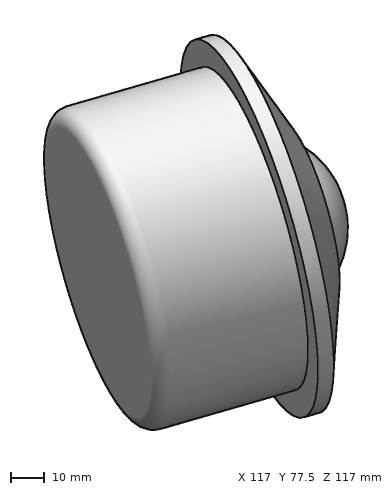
import cadquery as cq
import math

flange_diameter = 117.0
flange_thickness = 5.0
body_diameter = 100.0
body_length = 48.0
base_edge_radius = 5.0
cone_height = 13.1
cone_top_diameter = 57.2
ball_opening_diameter = 45.9
overall_length = 77.5

base_y = -body_length
cone_top_y = flange_thickness + cone_height
ball_top_y = base_y + overall_length

cap_height = ball_top_y - cone_top_y
opening_radius = ball_opening_diameter / 2
ball_radius = (opening_radius**2 + cap_height**2) / (2 * cap_height)
ball_center_y = ball_top_y - ball_radius

half_cap_angle = math.asin(opening_radius / ball_radius) / 2
ball_arc_middle = (
    ball_radius * math.sin(half_cap_angle),
    ball_center_y + ball_radius * math.cos(half_cap_angle),
)

body_radius = body_diameter / 2
flange_radius = flange_diameter / 2
half_section = (
    cq.Workplane("XY")
    .moveTo(0, base_y)
    .lineTo(body_radius - base_edge_radius, base_y)
    .radiusArc((body_radius, base_y + base_edge_radius), -base_edge_radius)
    .lineTo(body_radius, 0)
    .lineTo(flange_radius, 0)
    .lineTo(flange_radius, flange_thickness)
    .lineTo(cone_top_diameter / 2, cone_top_y)
    .lineTo(opening_radius, cone_top_y)
    .threePointArc(ball_arc_middle, (0, ball_top_y))
    .close()
)

result = half_section.revolve(360, (0, 0, 0), (0, 1, 0))